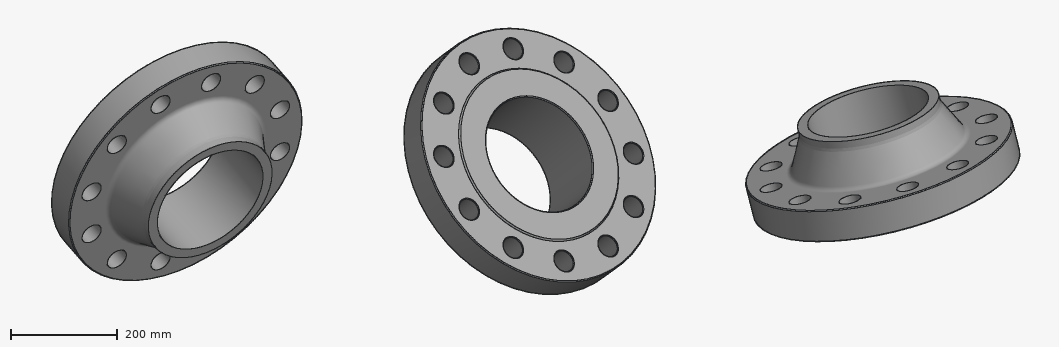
import cadquery as cq
import math


length = 155.0
flange_diameter = 515.0
flange_back = 68.0
rim_chamfer = 2.0

face_diameter = 345.0
face_height = 3.0
face_slope_width = 3.0

bore_diameter = 233.0
bore_chamfer = 2.0

bolt_count = 12
bolt_hole_diameter = 42.0
bolt_circle_diameter = 430.0
bolt_hole_chamfer = 1.5

weld_end_diameter = 273.0
weld_end_start = 137.0
hub_base_diameter = 340.0
hub_base_fillet = 12.0
weld_end_fillet = 14.0


def outer_body():
    """Revolve the outer outline of the flange, hub and weld end about X."""
    face_radius = face_diameter / 2
    flange_radius = flange_diameter / 2
    outline = [
        (0, 0),
        (0, face_radius),
        (face_height, face_radius + face_slope_width),
        (face_height, flange_radius - rim_chamfer),
        (face_height + rim_chamfer, flange_radius),
        (flange_back - rim_chamfer, flange_radius),
        (flange_back, flange_radius - rim_chamfer),
        (flange_back, hub_base_diameter / 2),
        (weld_end_start, weld_end_diameter / 2),
        (length, weld_end_diameter / 2),
        (length, 0),
    ]
    body = cq.Workplane("XZ").polyline(outline).close().revolve(360, (0, 0, 0), (1, 0, 0))
    body = fillet_circle(body, flange_back, hub_base_diameter, hub_base_fillet)
    return fillet_circle(body, weld_end_start, weld_end_diameter, weld_end_fillet)


def fillet_circle(body, x, diameter, fillet_radius):
    """Fillet the circular edge of the given diameter that lies at x."""
    margin = 1.0
    reach = diameter / 2 + margin
    corner_low = (x - margin, -reach, -reach)
    corner_high = (x + margin, reach, reach)
    circle = cq.selectors.BoxSelector(corner_low, corner_high, boundingbox=True)
    return body.edges(circle).fillet(fillet_radius)


def chamfered_hole(diameter, start, end, chamfer, y=0, z=0):
    """Cutter along X from start to end, with a chamfered mouth at start."""
    radius = diameter / 2
    outline = [
        (start, 0),
        (start, radius + chamfer),
        (start + chamfer, radius),
        (end, radius),
        (end, 0),
    ]
    cutter = cq.Workplane("XZ").polyline(outline).close().revolve(360, (0, 0, 0), (1, 0, 0))
    return cutter.translate((0, y, z))


def bolt_hole(index):
    """Cutter for one hole of the bolt circle."""
    angle = math.radians((index + 0.5) * 360 / bolt_count)
    circle_radius = bolt_circle_diameter / 2
    y = circle_radius * math.cos(angle)
    z = circle_radius * math.sin(angle)
    return chamfered_hole(bolt_hole_diameter, face_height, flange_back, bolt_hole_chamfer, y, z)


result = outer_body()
result = result.cut(chamfered_hole(bore_diameter, 0, length, bore_chamfer))
for hole_index in range(bolt_count):
    result = result.cut(bolt_hole(hole_index))